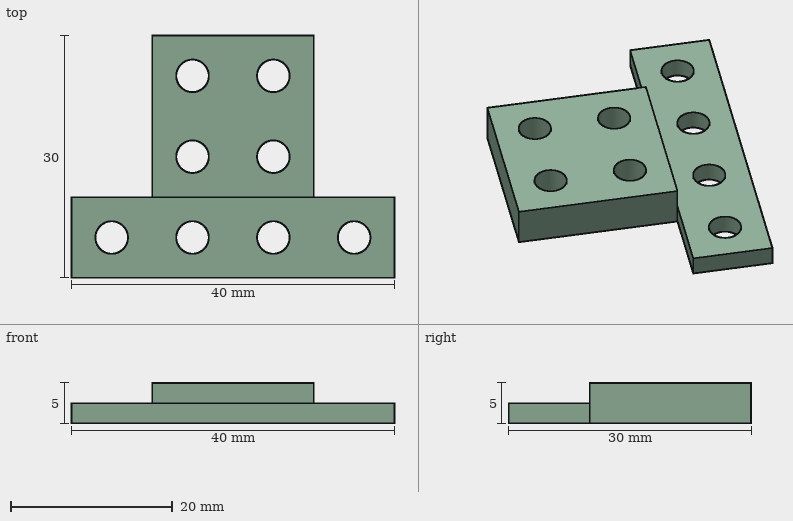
import cadquery as cq

pitch = 10.0
hole_diameter = 4.0
bar_columns = 4
block_columns = 2
block_rows = 2
block_height = 5.0
bar_height = block_height / 2

bar_width = pitch
block_width = block_rows * pitch
bar_y = bar_width / 2
block_y = bar_width + block_width / 2


def drilled_plate(columns, rows, height, center_y):
    """Plate standing on Z = 0, centred on X = 0, with a through hole in each cell."""
    plate = cq.Workplane("XY").center(0, center_y).rect(columns * pitch, rows * pitch).extrude(height)
    holes = (
        cq.Workplane("XY")
        .center(0, center_y)
        .rarray(pitch, pitch, columns, rows)
        .circle(hole_diameter / 2)
        .extrude(height)
    )
    return plate.cut(holes)


crossbar = drilled_plate(bar_columns, 1, bar_height, bar_y)
block = drilled_plate(block_columns, block_rows, block_height, block_y)
result = crossbar.union(block)